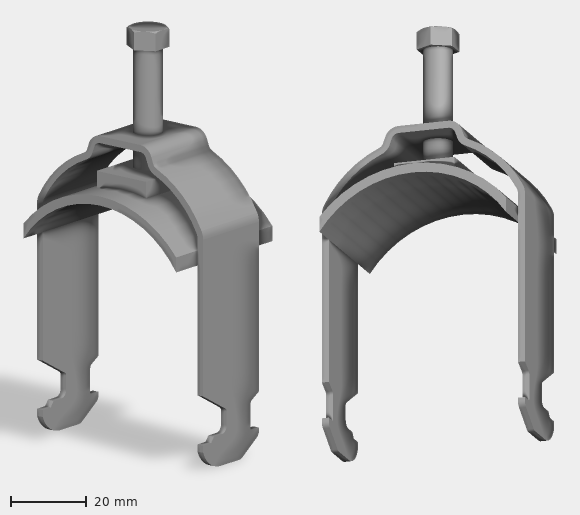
import cadquery as cq
import math

TOTAL_HEIGHT = 114.7
STRAP_SPAN = 57.0
STRAP_WIDTH = 23.2
STRAP_THICKNESS = 2.0
SADDLE_DEPTH = 40.0

CROWN_HEIGHT = 85.9
CROWN_HALF_TOP = 9.7
CROWN_LEAN = 20.0
CROWN_RADIUS = 4.0
SHOULDER_RADIUS = 31.5
SHOULDER_CENTER_Z = 51.4
LEG_BEND_RADIUS = 5.0
CROWN_FOOT_RADIUS = 2.0

NECK_FRONT_Y = -1.8
NECK_BACK_Y = 8.1
NECK_SLOPE = 30.0
NECK_TOP_Z = 15.0
HOOK_TOP_Z = 7.1
STEP_TOP_Z = 8.6
STEP_FRONT_Y = -7.1
STEP_BASE_Y = -8.3
HOOK_SIDE_Z = 5.2
SOLE_BACK_Y = 4.1
SOLE_FRONT_Y = -4.2
SOLE_RADIUS = 7.8
HOOK_RADIUS = 2.0
NECK_CORNER_RADIUS = 1.0
NECK_BACK_RADIUS = 0.5

SIDE_GAP = 0.3
SADDLE_SPAN = STRAP_SPAN - 2 * (STRAP_THICKNESS + SIDE_GAP)
SADDLE_RADIUS = 34.4
SADDLE_THICKNESS = 2.5
SADDLE_TOP_Z = 72.4
PAD_LENGTH = 17.0
PAD_WIDTH = 22.0
PAD_TOP_Z = 75.9

BOLT_DIAMETER = 8.0
BOLT_END_GAP = 0.3
HEAD_ACROSS_FLATS = 10.0
HEAD_HEIGHT = 5.3
HEAD_CHAMFER_ANGLE = 30.0


def centered_box(length, width, bottom, top):
    """Box centred on the Z axis, between two heights."""
    box = cq.Workplane("XY").workplane(offset=bottom)
    return box.rect(length, width).extrude(top - bottom)


def cylinder_along_y(radius, center_z, width):
    """Cylinder centred on the XZ plane, with its axis parallel to Y."""
    return cq.Workplane("XZ").center(0, center_z).circle(radius).extrude(width / 2, both=True)


def strap_envelope():
    """Solid bounded by the outer side of the strap; it reaches one thickness below the feet."""
    bottom = -STRAP_THICKNESS
    arch = centered_box(STRAP_SPAN, STRAP_WIDTH, bottom, SHOULDER_CENTER_Z)
    shoulder = cylinder_along_y(SHOULDER_RADIUS, SHOULDER_CENTER_Z, STRAP_WIDTH)
    upper_zone = centered_box(STRAP_SPAN, STRAP_WIDTH, SHOULDER_CENTER_Z, CROWN_HEIGHT)
    arch = arch.union(shoulder.intersect(upper_zone))

    crown_drop = CROWN_HEIGHT - SHOULDER_CENTER_Z
    crown_half_base = CROWN_HALF_TOP + crown_drop * math.tan(math.radians(CROWN_LEAN))
    crown = (
        cq.Workplane("XZ")
        .moveTo(-crown_half_base, SHOULDER_CENTER_Z)
        .lineTo(-CROWN_HALF_TOP, CROWN_HEIGHT)
        .lineTo(CROWN_HALF_TOP, CROWN_HEIGHT)
        .lineTo(crown_half_base, SHOULDER_CENTER_Z)
        .close()
        .extrude(STRAP_WIDTH / 2, both=True)
    )
    envelope = arch.union(crown).clean()

    leg_bend_z = SHOULDER_CENTER_Z + math.sqrt(SHOULDER_RADIUS**2 - (STRAP_SPAN / 2) ** 2)
    crown_corners = cq.selectors.BoxSelector(
        (-STRAP_SPAN, -1.1, CROWN_HEIGHT - 1.1), (STRAP_SPAN, 1.1, CROWN_HEIGHT + 1.1)
    )
    crown_feet = cq.selectors.BoxSelector(
        (-STRAP_SPAN, -1.1, leg_bend_z + 1.1), (STRAP_SPAN, 1.1, CROWN_HEIGHT - CROWN_RADIUS)
    )
    leg_bends = cq.selectors.BoxSelector(
        (-STRAP_SPAN, -1.1, leg_bend_z - 1.1), (STRAP_SPAN, 1.1, leg_bend_z + 1.1)
    )
    envelope = envelope.edges("|Y").edges(leg_bends).fillet(LEG_BEND_RADIUS)
    envelope = envelope.edges("|Y").edges(crown_feet).fillet(CROWN_FOOT_RADIUS)
    return envelope.edges("|Y").edges(crown_corners).fillet(CROWN_RADIUS)


def strap_side_outline():
    """Strap as seen along X, with the hooked foot, as a solid across the full span."""
    half = STRAP_WIDTH / 2
    slope = math.tan(math.radians(NECK_SLOPE))
    front_cut_z = NECK_TOP_Z + (half + NECK_FRONT_Y) * slope
    back_cut_z = NECK_TOP_Z + (half - NECK_BACK_Y) * slope

    arc_run = half + SOLE_FRONT_Y
    arc_end_angle = math.asin(arc_run / SOLE_RADIUS)

    def on_sole_arc(angle):
        return (SOLE_FRONT_Y - SOLE_RADIUS * math.sin(angle), SOLE_RADIUS * (1 - math.cos(angle)))

    outline = (
        cq.Workplane("YZ")
        .moveTo(-half, CROWN_HEIGHT)
        .lineTo(-half, front_cut_z)
        .lineTo(NECK_FRONT_Y, NECK_TOP_Z)
        .lineTo(NECK_FRONT_Y, STEP_TOP_Z)
        .lineTo(STEP_FRONT_Y, STEP_TOP_Z)
        .lineTo(STEP_BASE_Y, HOOK_TOP_Z)
        .lineTo(-half, HOOK_TOP_Z)
        .lineTo(*on_sole_arc(arc_end_angle))
        .threePointArc(on_sole_arc(arc_end_angle / 2), (SOLE_FRONT_Y, 0))
        .lineTo(SOLE_BACK_Y, 0)
        .lineTo(half, HOOK_SIDE_Z)
        .lineTo(half, HOOK_TOP_Z)
        .lineTo(NECK_BACK_Y, HOOK_TOP_Z)
        .lineTo(NECK_BACK_Y, NECK_TOP_Z)
        .lineTo(half, back_cut_z)
        .lineTo(half, CROWN_HEIGHT)
        .close()
        .extrude(STRAP_SPAN / 2, both=True)
    )

    rounded_corners = [
        (NECK_FRONT_Y, NECK_TOP_Z, NECK_CORNER_RADIUS),
        (NECK_FRONT_Y, STEP_TOP_Z, HOOK_RADIUS),
        (SOLE_BACK_Y, 0, HOOK_RADIUS),
        (half, HOOK_SIDE_Z, HOOK_RADIUS),
        (NECK_BACK_Y, HOOK_TOP_Z, NECK_BACK_RADIUS),
        (NECK_BACK_Y, NECK_TOP_Z, NECK_CORNER_RADIUS),
    ]
    for corner_y, corner_z, radius in rounded_corners:
        corner = cq.selectors.NearestToPointSelector((0, corner_y, corner_z))
        outline = outline.edges("|X").edges(corner).fillet(radius)
    return outline


def make_strap():
    """Constant-thickness band with hooked feet and a hole for the bolt."""
    envelope = strap_envelope()
    inside = (
        envelope.faces("<Y").wires().toPending()
        .workplane(origin=(0, -STRAP_WIDTH / 2, 0))
        .offset2D(-STRAP_THICKNESS)
        .extrude(-STRAP_WIDTH, combine=False)
    )
    band = envelope.cut(inside).intersect(strap_side_outline())
    bolt_hole = cq.Workplane("XY").circle(BOLT_DIAMETER / 2).extrude(TOTAL_HEIGHT)
    return band.cut(bolt_hole)


def make_saddle():
    """Curved plate with a rectangular pad standing on its crest."""
    center_z = SADDLE_TOP_Z - SADDLE_RADIUS
    inside = cylinder_along_y(SADDLE_RADIUS - SADDLE_THICKNESS, center_z, SADDLE_DEPTH)
    tube = cylinder_along_y(SADDLE_RADIUS, center_z, SADDLE_DEPTH).cut(inside)
    plate = tube.intersect(centered_box(SADDLE_SPAN, SADDLE_DEPTH, center_z, SADDLE_TOP_Z))
    pad = centered_box(PAD_LENGTH, PAD_WIDTH, center_z, PAD_TOP_Z).cut(inside)
    return plate.union(pad)


def make_bolt():
    """Plain shank with a hexagon head whose corners point along Y."""
    across_corners = HEAD_ACROSS_FLATS / math.cos(math.radians(30))
    head_bottom = TOTAL_HEIGHT - HEAD_HEIGHT
    head = (
        cq.Workplane("XY").workplane(offset=head_bottom)
        .transformed(rotate=(0, 0, 90))
        .polygon(6, across_corners)
        .extrude(HEAD_HEIGHT)
    )

    top_radius = HEAD_ACROSS_FLATS / 2
    cone_spread = HEAD_HEIGHT / math.tan(math.radians(HEAD_CHAMFER_ANGLE))
    trim_cone = cq.Workplane(cq.Solid.makeCone(
        top_radius + cone_spread, top_radius, HEAD_HEIGHT, cq.Vector(0, 0, head_bottom)
    ))
    head = head.intersect(trim_cone)

    shank_end = PAD_TOP_Z + BOLT_END_GAP
    shank = (
        cq.Workplane("XY").workplane(offset=shank_end)
        .circle(BOLT_DIAMETER / 2)
        .extrude(head_bottom - shank_end)
    )
    return head.union(shank)


strap = make_strap()
saddle = make_saddle()
bolt = make_bolt()

result = cq.Compound.makeCompound([strap.solids().val(), saddle.solids().val(), bolt.solids().val()])